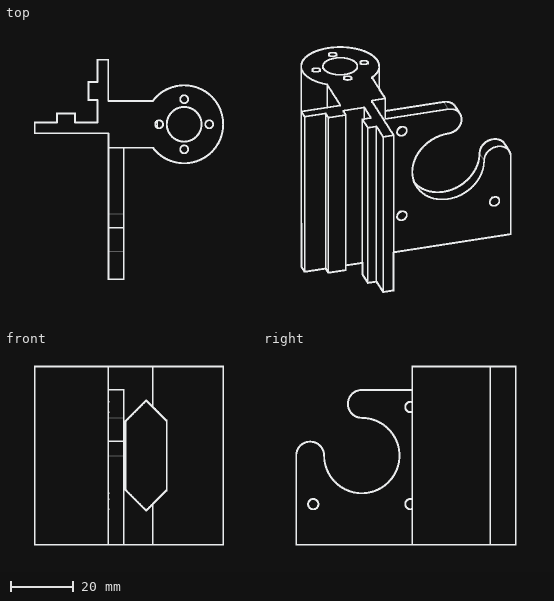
import cadquery as cq

HEIGHT = 57.0

LEG_LENGTH = 23.5
LEG_THICKNESS = 3.5
RIB_WIDTH = 5.8
RIB_HEIGHT = 2.9
RIB_CENTER = (LEG_LENGTH + LEG_THICKNESS) / 2

BARREL_DIAMETER = 25.0
BARREL_X = 24.2
BARREL_Y = 2.9
BORE_DIAMETER = 11.0
NECK_WIDTH = 15.0

SCREW_CIRCLE_RADIUS = 8.0
SCREW_COUNT = 4
SCREW_DIAMETER = 2.5
SCREW_DEPTH = 14.45

WINDOW_X = 12.1
WINDOW_HALF_WIDTH = 6.5
WINDOW_HALF_HEIGHT = 17.55

PLATE_THICKNESS = 5.0
PLATE_REACH = 46.7
CUTOUT_RADIUS = 12.0
FINGER_WIDTH = 9.0
CUTOUT_Y = FINGER_WIDTH + CUTOUT_RADIUS - PLATE_REACH
CUTOUT_Z = HEIGHT / 2
MOTOR_HOLE_DIAMETER = 3.2
MOTOR_HOLE_SPACING = 31.0


def block(x_min, x_max, y_min, y_max):
    """Full-height block between the given X and Y limits."""
    base = cq.Workplane("XY").moveTo(x_min, y_min)
    return base.lineTo(x_max, y_min).lineTo(x_max, y_max).lineTo(x_min, y_max).close().extrude(HEIGHT)


def angle_bracket():
    rib_start = RIB_CENTER - RIB_WIDTH / 2
    rib_end = RIB_CENTER + RIB_WIDTH / 2
    rib_top = LEG_THICKNESS + RIB_HEIGHT
    legs = block(-LEG_LENGTH, 0, 0, LEG_THICKNESS).union(block(-LEG_THICKNESS, 0, 0, LEG_LENGTH))
    x_leg_rib = block(-rib_end, -rib_start, 0, rib_top)
    y_leg_rib = block(-rib_top, 0, rib_start, rib_end)
    return legs.union(x_leg_rib).union(y_leg_rib)


def neck_and_barrel():
    neck = block(0, BARREL_X, BARREL_Y - NECK_WIDTH / 2, BARREL_Y + NECK_WIDTH / 2)
    barrel = cq.Workplane("XY").center(BARREL_X, BARREL_Y).circle(BARREL_DIAMETER / 2).extrude(HEIGHT)
    return neck.union(barrel)


def motor_plate():
    finger_radius = FINGER_WIDTH / 2
    cutout_top = CUTOUT_Z + CUTOUT_RADIUS
    plate_top = cutout_top + FINGER_WIDTH
    plate = (
        cq.Workplane("YZ")
        .lineTo(-PLATE_REACH, 0)
        .lineTo(-PLATE_REACH, CUTOUT_Z)
        .threePointArc(
            (-PLATE_REACH + finger_radius, CUTOUT_Z + finger_radius),
            (-PLATE_REACH + FINGER_WIDTH, CUTOUT_Z),
        )
        .radiusArc((CUTOUT_Y, CUTOUT_Z - CUTOUT_RADIUS), -CUTOUT_RADIUS)
        .threePointArc((CUTOUT_Y + CUTOUT_RADIUS, CUTOUT_Z), (CUTOUT_Y, cutout_top))
        .threePointArc((CUTOUT_Y - finger_radius, cutout_top + finger_radius), (CUTOUT_Y, plate_top))
        .lineTo(0, plate_top)
        .close()
        .extrude(PLATE_THICKNESS)
    )
    half = MOTOR_HOLE_SPACING / 2
    hole_offsets = [(half, half), (half, -half), (-half, -half)]
    holes = (
        cq.Workplane("YZ")
        .center(CUTOUT_Y, CUTOUT_Z)
        .pushPoints(hole_offsets)
        .circle(MOTOR_HOLE_DIAMETER / 2)
        .extrude(PLATE_THICKNESS)
    )
    return plate.cut(holes)


def neck_window():
    shoulder = WINDOW_HALF_HEIGHT - WINDOW_HALF_WIDTH
    outline = [
        (0, WINDOW_HALF_HEIGHT),
        (WINDOW_HALF_WIDTH, shoulder),
        (WINDOW_HALF_WIDTH, -shoulder),
        (0, -WINDOW_HALF_HEIGHT),
        (-WINDOW_HALF_WIDTH, -shoulder),
        (-WINDOW_HALF_WIDTH, shoulder),
    ]
    return (
        cq.Workplane("XZ", origin=(WINDOW_X, BARREL_Y, HEIGHT / 2))
        .polyline(outline)
        .close()
        .extrude(BARREL_DIAMETER / 2, both=True)
    )


def barrel_holes():
    top = cq.Workplane("XY", origin=(BARREL_X, BARREL_Y, HEIGHT))
    bore = top.circle(BORE_DIAMETER / 2).extrude(-HEIGHT)
    screws = (
        top.polarArray(SCREW_CIRCLE_RADIUS, 0, 360, SCREW_COUNT)
        .circle(SCREW_DIAMETER / 2)
        .extrude(-SCREW_DEPTH)
    )
    return bore.union(screws)


body = angle_bracket().union(neck_and_barrel())
result = body.cut(neck_window()).cut(barrel_holes()).union(motor_plate())